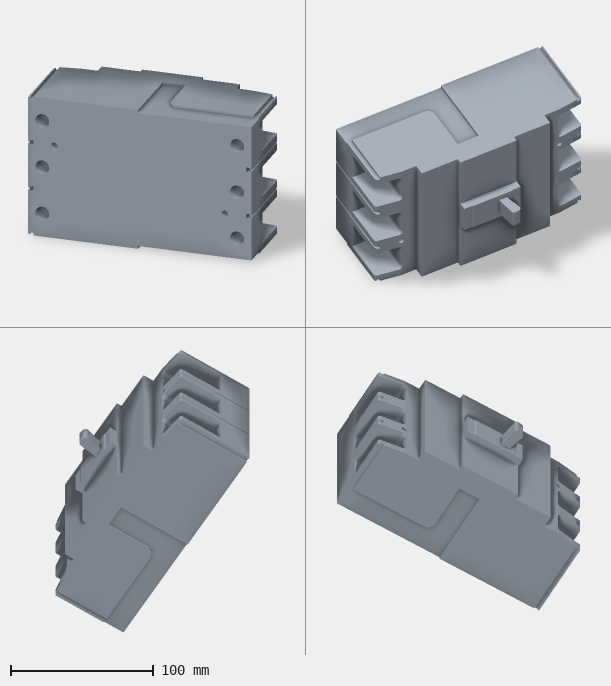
import cadquery as cq
import math

LENGTH = 165.0
WIDTH = 105.0
POLE_PITCH = 35.0
HALF_LENGTH = LENGTH / 2
HALF_WIDTH = WIDTH / 2
POLE_CENTERS = (-POLE_PITCH, 0, POLE_PITCH)
SIDES = (-1, 1)

SHOULDER_Y = 59.9
SLOPE_ANGLE = 8.0
SLOPE_LENGTH = 19.8
END_Y = SHOULDER_Y - SLOPE_LENGTH * math.tan(math.radians(SLOPE_ANGLE))
END_RADIUS = 1.8
COVER_HALF_LENGTH = 51.2
COVER_Y = 68.1
PLATEAU_HALF_LENGTH = 22.5
PLATEAU_Y = 72.0

ESCUTCHEON_WIDTH = 21.5
ESCUTCHEON_Y = 77.7
CROWN_LENGTH = 33.0
CROWN_RAMP = 1.0
CROWN_Y = 78.2

TOGGLE_WIDTH = 13.2
TOGGLE_BASE_LEFT = (-11.0, CROWN_Y)
TOGGLE_WAIST = (-12.0, 82.5)
TOGGLE_NECK = (-13.4, 86.8)
TOGGLE_TIP_LEFT = (-15.0, 93.2)
TOGGLE_TIP_RIGHT = (-7.5, 94.5)
TOGGLE_BASE_RIGHT = (-5.0, CROWN_Y)
TOGGLE_LEFT_RADIUS = 2.3
TOGGLE_RIGHT_RADIUS = 1.8

POCKET_WIDTH = 22.6
POCKET_DEPTH = 20.5
POCKET_FLOOR_Y = 24.1
POCKET_RADIUS = 3.0

TERMINAL_HOLE_X = 72.0
TERMINAL_HOLE_DIAMETER = 10.2
MOUNTING_HOLE_X = 63.0
MOUNTING_HOLE_DIAMETER = 4.6

SLOT_OFFSETS = (-1.5, -0.5, 0.5, 1.5)
SLOT_NECK_WIDTH = 1.6
SLOT_NECK_DEPTH = 1.3
SLOT_HEAD_WIDTH = 4.0
SLOT_DEPTH = 4.0

RECESS_DEPTH = 2.1
RECESS_LEFT_X = -1.3
RECESS_RIGHT_X = 15.5
RECESS_TOP_Y = 55.1
RECESS_LEG_Y = 16.5
RECESS_RADIUS = 6.0


def block(x_range, y_range, z_range):
    """Box spanning the given ranges."""
    (x0, x1), (y0, y1), (z0, z1) = x_range, y_range, z_range
    return cq.Workplane("XY").box(x1 - x0, y1 - y0, z1 - z0, centered=False).translate((x0, y0, z0))


def centered_range(center, size):
    return (center - size / 2, center + size / 2)


def symmetric_prism(right_half, width):
    """Outline mirrored about X = 0 and extruded evenly to both sides of Z = 0."""
    left_half = [(-x, y) for x, y in reversed(right_half)]
    return cq.Workplane("XY").polyline(right_half + left_half).close().extrude(width / 2, both=True)


def housing():
    """Stepped body over the full width, with rounded upper end edges."""
    slope_x = HALF_LENGTH - SLOPE_LENGTH
    right_half = [
        (HALF_LENGTH, 0),
        (HALF_LENGTH, END_Y),
        (slope_x, SHOULDER_Y),
        (COVER_HALF_LENGTH, SHOULDER_Y),
        (COVER_HALF_LENGTH, COVER_Y),
        (PLATEAU_HALF_LENGTH, COVER_Y),
        (PLATEAU_HALF_LENGTH, PLATEAU_Y),
    ]
    body = symmetric_prism(right_half, WIDTH)
    top_end_edges = cq.selectors.BoxSelector(
        (-LENGTH, END_Y - END_RADIUS, -WIDTH), (LENGTH, END_Y + END_RADIUS, WIDTH)
    )
    return body.edges("|Z").edges(top_end_edges).fillet(END_RADIUS)


def escutcheon():
    """Block with a slightly raised crown that ramps down at both ends."""
    crown_foot_x = CROWN_LENGTH / 2
    right_half = [
        (PLATEAU_HALF_LENGTH, PLATEAU_Y),
        (PLATEAU_HALF_LENGTH, ESCUTCHEON_Y),
        (crown_foot_x, ESCUTCHEON_Y),
        (crown_foot_x - CROWN_RAMP, CROWN_Y),
    ]
    return symmetric_prism(right_half, ESCUTCHEON_WIDTH)


def toggle():
    """Leaning lever with a hollow lower flank and a rounded tip."""
    lever = (
        cq.Workplane("XY")
        .moveTo(*TOGGLE_BASE_LEFT)
        .threePointArc(TOGGLE_WAIST, TOGGLE_NECK)
        .lineTo(*TOGGLE_TIP_LEFT)
        .lineTo(*TOGGLE_TIP_RIGHT)
        .lineTo(*TOGGLE_BASE_RIGHT)
        .close()
        .extrude(TOGGLE_WIDTH / 2, both=True)
    )
    for (x, y), radius in ((TOGGLE_TIP_LEFT, TOGGLE_LEFT_RADIUS), (TOGGLE_TIP_RIGHT, TOGGLE_RIGHT_RADIUS)):
        lever = lever.edges(cq.selectors.NearestToPointSelector((x, y, 0))).fillet(radius)
    return lever


def terminal_pocket(side, pole_z):
    """Pocket open to the end and to the top, with rounded inner corners."""
    inner_x = HALF_LENGTH - POCKET_DEPTH
    pocket = block((inner_x, HALF_LENGTH), (POCKET_FLOOR_Y, COVER_Y), centered_range(pole_z, POCKET_WIDTH))
    pocket = pocket.edges("<X and |Y").fillet(POCKET_RADIUS)
    return pocket if side > 0 else pocket.mirror("YZ")


def t_slot(side, slot_z):
    neck_x = HALF_LENGTH - SLOT_NECK_DEPTH
    y_range = (0, SHOULDER_Y)
    neck = block((neck_x, HALF_LENGTH), y_range, centered_range(slot_z, SLOT_NECK_WIDTH))
    head = block((HALF_LENGTH - SLOT_DEPTH, neck_x), y_range, centered_range(slot_z, SLOT_HEAD_WIDTH))
    slot = neck.union(head)
    return slot if side > 0 else slot.mirror("YZ")


def hole(x, z, diameter):
    """Cutter along Y through the whole height below the shoulder."""
    return cq.Workplane("XZ").center(x, z).circle(diameter / 2).extrude(-SHOULDER_Y)


def side_recess(side):
    """L-shaped recess, open at the bottom and at the +X end."""
    recess = (
        cq.Workplane("XY")
        .moveTo(RECESS_LEFT_X, 0)
        .lineTo(HALF_LENGTH, 0)
        .lineTo(HALF_LENGTH, RECESS_LEG_Y)
        .lineTo(RECESS_RIGHT_X + RECESS_RADIUS, RECESS_LEG_Y)
        .radiusArc((RECESS_RIGHT_X, RECESS_LEG_Y + RECESS_RADIUS), RECESS_RADIUS)
        .lineTo(RECESS_RIGHT_X, RECESS_TOP_Y)
        .lineTo(RECESS_LEFT_X, RECESS_TOP_Y)
        .close()
        .extrude(RECESS_DEPTH)
        .translate((0, 0, HALF_WIDTH - RECESS_DEPTH))
    )
    return recess if side > 0 else recess.mirror("XY")


result = housing().union(escutcheon()).union(toggle())

for side in SIDES:
    result = result.cut(side_recess(side))
    for pole_z in POLE_CENTERS:
        result = result.cut(terminal_pocket(side, pole_z))
        result = result.cut(hole(side * TERMINAL_HOLE_X, pole_z, TERMINAL_HOLE_DIAMETER))
    for pitch_offset in SLOT_OFFSETS:
        result = result.cut(t_slot(side, pitch_offset * POLE_PITCH))
    mounting_z = -side * POLE_PITCH / 2
    result = result.cut(hole(side * MOUNTING_HOLE_X, mounting_z, MOUNTING_HOLE_DIAMETER))